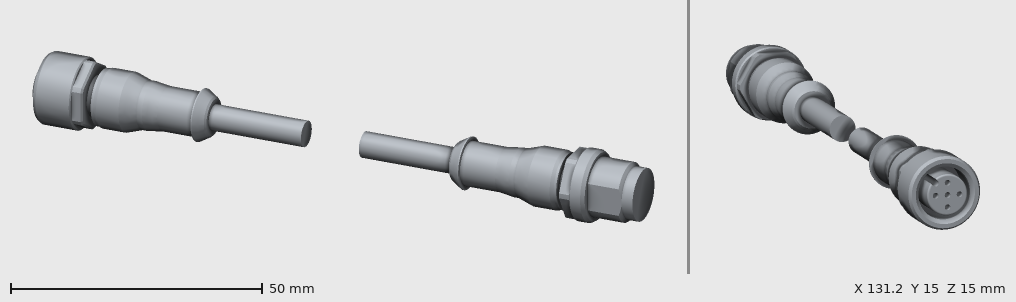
import cadquery as cq
import math


overall_length = 131.2
coupling_radius = 7.5

boot_length = 24.3
cable_length = 44.3
cable_diameter = 5.4
cable_radius = cable_diameter / 2
grip_radius = 6.2
grip_lead_radius = 5.9
grip_lead_length = 1.3
grip_lead_flat = 0.5
grip_end = 6.2
waist_start = 9.6
waist_end = 10.8
waist_diameter = 10.1
waist_radius = waist_diameter / 2
sleeve_start = 13.9
sleeve_radius = 4.6
collar_diameter = 10.9
collar_radius = collar_diameter / 2
collar_front = 21.5
collar_back = 21.8
boot_tail_radius = 4.2
boot_tail_chamfer = 0.4

neck_diameter = 8.5
neck_radius = neck_diameter / 2

hex_sides = 6
hex_across_flats = 13.0
hex_corner_radius = 7.2
socket_hex_chamfer = 0.4
socket_hex_corner_angle = 90.0
plug_hex_corner_angle = 0.0

insert_radius = 4.2
insert_fillet = 0.4
socket_sleeve_front = 1.5
socket_sleeve_back = 9.7
socket_hex_back = 12.0
socket_boot_front = 13.5
coupling_edge_length = 0.8
coupling_edge_height = 0.46
coupling_back_chamfer = 0.3
recess_radius = 5.4
recess_mouth_radius = 6.2
recess_depth = 7.2
contact_hole_radius = 0.59
contact_hole_depth = 6.5
contact_circle_radius = 2.5
contact_count = 4
keyway_radius = 0.7
keyway_center = 3.5
keyway_angle = 45.0

plug_boot_front = 114.8
plug_hex_back = 116.0
plug_ring_back = 118.2
plug_ring_front = 121.5
thread_radius = 6.2
thread_end = 128.2
spigot_start = 128.8
spigot_diameter = 10.9
spigot_radius = spigot_diameter / 2


def revolve_x(outline):
    """Revolve a (x, radius) outline that starts and ends on the X axis."""
    return outline.close().revolve(360, (0, 0, 0), (1, 0, 0))


def cylinder_x(x_start, x_end, radius):
    return cq.Workplane("YZ", origin=(x_start, 0, 0)).circle(radius).extrude(x_end - x_start)


def boot_with_cable():
    """Boot with its front face at x = 0 and the cable leaving toward +X."""
    outline = (
        cq.Workplane("XY")
        .lineTo(0, grip_lead_radius)
        .lineTo(grip_lead_flat, grip_lead_radius)
        .lineTo(grip_lead_length, grip_radius)
        .lineTo(grip_end, grip_radius)
        .lineTo(waist_start, waist_radius)
        .lineTo(waist_end, waist_radius)
        .lineTo(sleeve_start, sleeve_radius)
        .lineTo(collar_front, sleeve_radius)
        .lineTo(collar_front, collar_radius)
        .lineTo(collar_back, collar_radius)
        .lineTo(boot_length - boot_tail_chamfer, boot_tail_radius)
        .lineTo(boot_length, boot_tail_radius - boot_tail_chamfer)
        .lineTo(boot_length, cable_radius)
        .lineTo(cable_length, cable_radius)
        .lineTo(cable_length, 0)
    )
    return revolve_x(outline)


def coupling_hexagon(length, corner_angle):
    """Hexagon along +X from x = 0 with turned-off corners."""
    hexagon = (
        cq.Workplane("YZ")
        .polygon(hex_sides, hex_across_flats / math.cos(math.pi / hex_sides))
        .extrude(length)
        .rotate((0, 0, 0), (1, 0, 0), corner_angle)
    )
    return hexagon.intersect(cylinder_x(0, length, hex_corner_radius))


def coupling_ring(x_front, x_back):
    """Round coupling between two faces, with a long chamfer at x_front and a small one at x_back."""
    edge_step = math.copysign(coupling_edge_length, x_back - x_front)
    back_step = math.copysign(coupling_back_chamfer, x_back - x_front)
    outline = (
        cq.Workplane("XY")
        .moveTo(x_front, 0)
        .lineTo(x_front, coupling_radius - coupling_edge_height)
        .lineTo(x_front + edge_step, coupling_radius)
        .lineTo(x_back - back_step, coupling_radius)
        .lineTo(x_back, coupling_radius - coupling_back_chamfer)
        .lineTo(x_back, 0)
    )
    return revolve_x(outline)


def socket_recess():
    """Ring-shaped recess around the insert, with a tapered mouth."""
    recess_floor = socket_sleeve_front + recess_depth
    mouth_depth = recess_mouth_radius - recess_radius
    outline = (
        cq.Workplane("XY")
        .moveTo(socket_sleeve_front, insert_radius)
        .lineTo(socket_sleeve_front, recess_mouth_radius)
        .lineTo(socket_sleeve_front + mouth_depth, recess_radius)
        .lineTo(recess_floor, recess_radius)
        .lineTo(recess_floor, insert_radius)
    )
    return revolve_x(outline)


def contact_holes():
    """Four contact holes on a circle and one in the middle, all opening at x = 0."""
    return (
        cq.Workplane("YZ")
        .polarArray(contact_circle_radius, 0, 360, contact_count)
        .circle(contact_hole_radius)
        .extrude(contact_hole_depth)
        .union(cylinder_x(0, contact_hole_depth, contact_hole_radius))
    )


def insert_keyway():
    """Round-bottomed slot that runs out through the side of the insert."""
    length = socket_sleeve_front + recess_depth
    slot_reach = recess_radius - keyway_center - keyway_radius
    bottom = cq.Workplane("YZ").center(keyway_center, 0).circle(keyway_radius).extrude(length)
    opening = (
        cq.Workplane("YZ")
        .center(keyway_center + slot_reach / 2, 0)
        .rect(slot_reach, 2 * keyway_radius)
        .extrude(length)
    )
    return bottom.union(opening).rotate((0, 0, 0), (1, 0, 0), keyway_angle)


def socket_connector():
    hex_length = socket_hex_back - socket_sleeve_back
    hexagon = coupling_hexagon(hex_length, socket_hex_corner_angle).faces(">X").chamfer(socket_hex_chamfer)
    insert = cylinder_x(0, socket_sleeve_back, insert_radius).faces("<X").fillet(insert_fillet)
    return (
        coupling_ring(socket_sleeve_front, socket_sleeve_back)
        .cut(socket_recess())
        .union(insert)
        .union(hexagon.translate((socket_sleeve_back, 0, 0)))
        .union(cylinder_x(socket_hex_back, socket_boot_front, neck_radius))
        .union(boot_with_cable().translate((socket_boot_front, 0, 0)))
        .cut(contact_holes())
        .cut(insert_keyway())
    )


def plug_nose():
    """Threaded length with two flats facing -Y and +Y, ending in a round spigot."""
    outline = (
        cq.Workplane("XY")
        .moveTo(plug_ring_front, 0)
        .lineTo(plug_ring_front, thread_radius)
        .lineTo(thread_end, thread_radius)
        .lineTo(spigot_start, spigot_radius)
        .lineTo(overall_length, spigot_radius)
        .lineTo(overall_length, 0)
    )
    nose_length = overall_length - plug_ring_front
    flat_limit = (
        cq.Workplane("YZ", origin=(plug_ring_front, 0, 0))
        .rect(2 * spigot_radius, 2 * thread_radius)
        .extrude(nose_length)
    )
    return revolve_x(outline).intersect(flat_limit)


def plug_connector():
    hex_length = plug_ring_back - plug_hex_back
    hexagon = coupling_hexagon(hex_length, plug_hex_corner_angle).mirror("YZ")
    return (
        coupling_ring(plug_ring_front, plug_ring_back)
        .union(hexagon.translate((plug_ring_back, 0, 0)))
        .union(cylinder_x(plug_boot_front, plug_hex_back, neck_radius))
        .union(boot_with_cable().mirror("YZ").translate((plug_boot_front, 0, 0)))
        .union(plug_nose())
    )


socket = socket_connector()
plug = plug_connector()

result = cq.Compound.makeCompound([socket.val(), plug.val()])